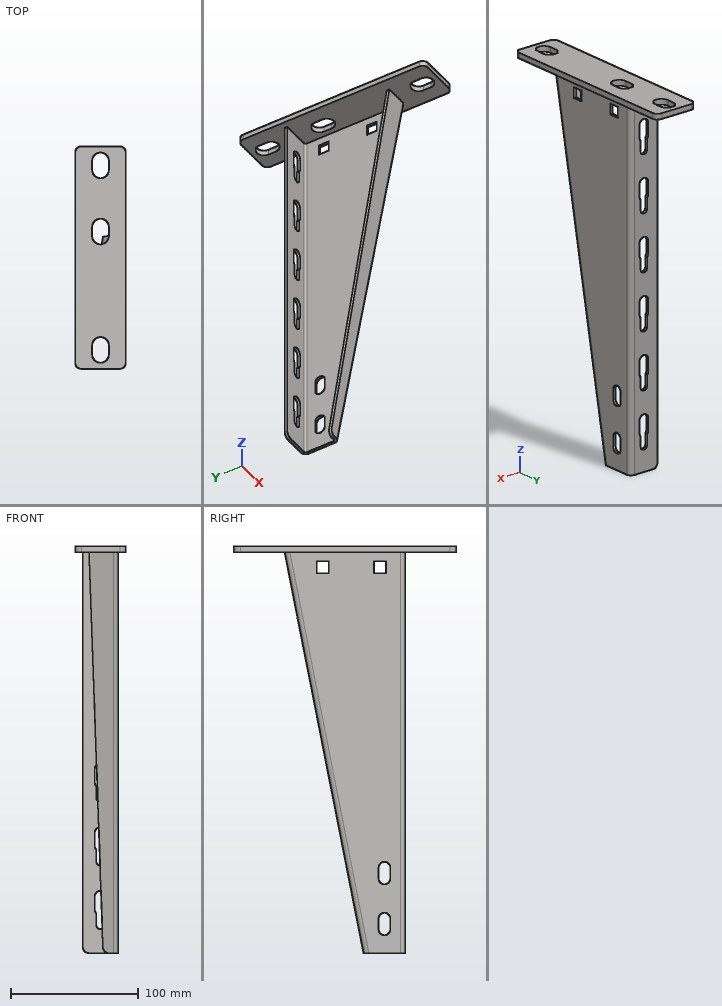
import cadquery as cq
import math

TOTAL_HEIGHT = 320.0

PLATE_WIDTH = 40.0
PLATE_LENGTH = 175.0
PLATE_THICKNESS = 5.0
PLATE_CORNER_RADIUS = 5.0
PLATE_SLOT_LENGTH = 20.0
PLATE_SLOT_WIDTH = 13.0
PLATE_END_SLOT_Y = 72.5
PLATE_INNER_SLOT_Y = 20.5

BRACKET_HEIGHT = TOTAL_HEIGHT - PLATE_THICKNESS
BRACKET_WIDTH = 28.0
SHEET_THICKNESS = 2.5
INNER_BEND_RADIUS = 1.5
OUTER_BEND_RADIUS = INNER_BEND_RADIUS + SHEET_THICKNESS
WEB_X = BRACKET_WIDTH / 2
FREE_EDGE_X = -BRACKET_WIDTH / 2
TOP_DEPTH = 95.0
BOTTOM_DEPTH = 33.0
REAR_Y = TOP_DEPTH / 2
FRONT_TOP_Y = REAR_Y - TOP_DEPTH
FRONT_BOTTOM_Y = REAR_Y - BOTTOM_DEPTH
FRONT_FLANGE_TOP_WIDTH = 23.0
FRONT_FLANGE_BOTTOM_WIDTH = 12.0
FLANGE_CORNER_RADIUS = 5.0

KEYHOLE_COUNT = 6
KEYHOLE_PITCH = 50.0
KEYHOLE_BOTTOM_Z = 19.0
KEYHOLE_HEIGHT = 30.0
KEYHOLE_WIDE_WIDTH = 9.0
KEYHOLE_WIDE_LENGTH = 19.0
KEYHOLE_NARROW_WIDTH = 6.5
KEYHOLE_NARROW_LENGTH = KEYHOLE_HEIGHT - KEYHOLE_WIDE_WIDTH / 2

WEB_SLOT_Y = 31.0
WEB_SLOT_Z = (23.0, 63.0)
WEB_SLOT_LENGTH = 17.5
WEB_SLOT_WIDTH = 9.0
SQUARE_HOLE_SIZE = 9.2
SQUARE_HOLE_Y = (27.5, -17.5)
SQUARE_HOLE_Z = 303.3


def make_plate():
    slot_places = [(0, y) for y in (PLATE_END_SLOT_Y, PLATE_INNER_SLOT_Y, -PLATE_END_SLOT_Y)]
    return (
        cq.Workplane("XY", origin=(0, 0, BRACKET_HEIGHT))
        .rect(PLATE_WIDTH, PLATE_LENGTH)
        .extrude(PLATE_THICKNESS)
        .edges("|Z")
        .fillet(PLATE_CORNER_RADIUS)
        .faces(">Z")
        .workplane(origin=(0, 0, TOTAL_HEIGHT))
        .pushPoints(slot_places)
        .slot2D(PLATE_SLOT_LENGTH, PLATE_SLOT_WIDTH, 90)
        .cutThruAll()
    )


def tapered_block(inset, bend_radius):
    """Tapered block lying inside the bracket's outer faces by inset, rounded along both bends.

    It runs past both ends of the bracket, so that the ends stay open once the block is hollowed.
    """
    overrun = BRACKET_WIDTH
    taper = (FRONT_BOTTOM_Y - FRONT_TOP_Y) / BRACKET_HEIGHT
    front_inset = inset * math.hypot(1, taper)
    low_z = -overrun
    high_z = BRACKET_HEIGHT + overrun
    outline = [
        (REAR_Y - inset, low_z),
        (REAR_Y - inset, high_z),
        (FRONT_BOTTOM_Y - taper * high_z + front_inset, high_z),
        (FRONT_BOTTOM_Y - taper * low_z + front_inset, low_z),
    ]
    return (
        cq.Workplane("YZ", origin=(FREE_EDGE_X, 0, 0))
        .polyline(outline)
        .close()
        .extrude(BRACKET_WIDTH - inset)
        .faces(">X")
        .edges("not |Y")
        .fillet(bend_radius)
    )


def flange_limit(rear_y, front_y, top_width, bottom_width):
    """Block that sets a flange's width at both ends and rounds its lower free corner."""
    bottom_x = WEB_X - bottom_width
    outline = [
        (WEB_X, 0),
        (WEB_X, BRACKET_HEIGHT),
        (WEB_X - top_width, BRACKET_HEIGHT),
        (bottom_x, 0),
    ]
    return (
        cq.Workplane("XZ", origin=(0, rear_y, 0))
        .polyline(outline)
        .close()
        .extrude(rear_y - front_y)
        .edges(cq.NearestToPointSelector((bottom_x, (rear_y + front_y) / 2, 0)))
        .fillet(FLANGE_CORNER_RADIUS)
    )


def keyhole_cutters():
    rear_flange = cq.Workplane("XZ", origin=(0, REAR_Y, 0))
    wide_center = KEYHOLE_BOTTOM_Z + KEYHOLE_HEIGHT - KEYHOLE_WIDE_LENGTH / 2
    narrow_center = KEYHOLE_BOTTOM_Z + KEYHOLE_NARROW_LENGTH / 2
    rises = [index * KEYHOLE_PITCH for index in range(KEYHOLE_COUNT)]
    wide = (
        rear_flange.pushPoints([(0, wide_center + rise) for rise in rises])
        .slot2D(KEYHOLE_WIDE_LENGTH, KEYHOLE_WIDE_WIDTH, 90)
        .extrude(SHEET_THICKNESS)
    )
    narrow = (
        rear_flange.pushPoints([(0, narrow_center + rise) for rise in rises])
        .slot2D(KEYHOLE_NARROW_LENGTH, KEYHOLE_NARROW_WIDTH, 90)
        .extrude(SHEET_THICKNESS)
    )
    return wide.union(narrow)


def web_hole_cutters():
    web = cq.Workplane("YZ", origin=(WEB_X - SHEET_THICKNESS, 0, 0))
    slots = (
        web.pushPoints([(WEB_SLOT_Y, z) for z in WEB_SLOT_Z])
        .slot2D(WEB_SLOT_LENGTH, WEB_SLOT_WIDTH, 90)
        .extrude(SHEET_THICKNESS)
    )
    squares = (
        web.pushPoints([(y, SQUARE_HOLE_Z) for y in SQUARE_HOLE_Y])
        .rect(SQUARE_HOLE_SIZE, SQUARE_HOLE_SIZE)
        .extrude(SHEET_THICKNESS)
    )
    return slots.union(squares)


def make_bracket():
    folded_sheet = tapered_block(0, OUTER_BEND_RADIUS).cut(
        tapered_block(SHEET_THICKNESS, INNER_BEND_RADIUS)
    )
    split_y = (REAR_Y + FRONT_BOTTOM_Y) / 2
    rear_limit = flange_limit(REAR_Y, split_y, BRACKET_WIDTH, BRACKET_WIDTH)
    front_limit = flange_limit(split_y, FRONT_TOP_Y, FRONT_FLANGE_TOP_WIDTH, FRONT_FLANGE_BOTTOM_WIDTH)
    trimmed = folded_sheet.intersect(rear_limit.union(front_limit))
    return trimmed.cut(keyhole_cutters()).cut(web_hole_cutters()).solids()


plate = make_plate()
bracket = make_bracket()
result = cq.Compound.makeCompound([plate.val(), *bracket.vals()])